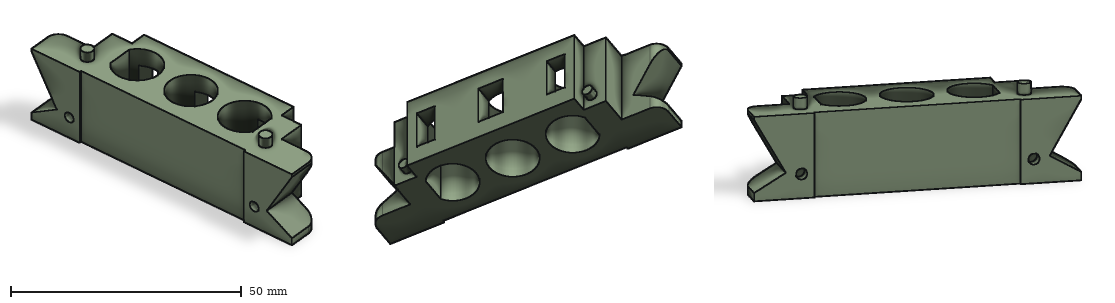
import cadquery as cq

LENGTH = 73.0
HEIGHT = 19.0

WING_DEPTH = 8.6
SHOULDER_HALF_WIDTH = 26.5
SHOULDER_DEPTH = 15.4
BACK_HALF_WIDTH = 20.95
BACK_DEPTH = 19.5
WING_CORNER_RADIUS = 3.0

RELIEF_HALF_WIDTH = 23.0
RELIEF_DEPTH = 0.5

NOTCH_DEPTH = 7.1
NOTCH_ROOT_Z = 6.0
NOTCH_LOWER_Z = 1.9
NOTCH_UPPER_Z = 18.25

BORE_DIAMETER = 11.7
BORE_PITCH = 15.05
BORE_Y = 10.0
BORE_FLAT_X = 19.9

WINDOW_MARGIN = 4.5
MIDDLE_WINDOW_HALF_WIDTH = 3.1
OUTER_WINDOW_INNER_X = 14.0
OUTER_WINDOW_OUTER_X = 18.55

TOP_PIN_DIAMETER = 3.0
TOP_PIN_LENGTH = 2.55
TOP_PIN_X = 25.0
TOP_PIN_Y = 5.05
BACK_PIN_DIAMETER = 2.5
BACK_PIN_LENGTH = 2.05
BACK_PIN_X = 23.0
BACK_PIN_Z = 3.3
FRONT_HOLE_DIAMETER = 2.5
FRONT_HOLE_DEPTH = 2.55
FRONT_HOLE_X = 25.9
FRONT_HOLE_Z = 5.5

SIDES = (-1, 1)


def box_between(x_range, y_range, z_range):
    """Box spanning the given (low, high) range on each axis."""
    corner = (x_range[0], y_range[0], z_range[0])
    size = [high - low for low, high in (x_range, y_range, z_range)]
    return cq.Workplane("XY").box(*size, centered=False).translate(corner)


def cylinder(diameter, length, base, direction):
    """Cylinder starting at base and running along direction."""
    return cq.Workplane(
        cq.Solid.makeCylinder(diameter / 2, length, cq.Vector(*base), cq.Vector(*direction))
    )


def stepped_block():
    """Wings, shoulders and back bar, with rounded rear wing corners."""
    wings = (
        box_between((-LENGTH / 2, LENGTH / 2), (0, WING_DEPTH), (0, HEIGHT))
        .edges("|Z and >Y")
        .fillet(WING_CORNER_RADIUS)
    )
    shoulders = box_between(
        (-SHOULDER_HALF_WIDTH, SHOULDER_HALF_WIDTH), (0, SHOULDER_DEPTH), (0, HEIGHT)
    )
    back = box_between((-BACK_HALF_WIDTH, BACK_HALF_WIDTH), (0, BACK_DEPTH), (0, HEIGHT))
    relief = box_between((-RELIEF_HALF_WIDTH, RELIEF_HALF_WIDTH), (0, RELIEF_DEPTH), (0, HEIGHT))
    return wings.union(shoulders).union(back).cut(relief)


def end_notch(side):
    """V-shaped prism that opens at one end and runs through the wing."""
    end_x = side * LENGTH / 2
    root_x = side * (LENGTH / 2 - NOTCH_DEPTH)
    return (
        cq.Workplane("XZ")
        .polyline([(end_x, NOTCH_LOWER_Z), (root_x, NOTCH_ROOT_Z), (end_x, NOTCH_UPPER_Z)])
        .close()
        .extrude(-WING_DEPTH)
    )


def bores():
    """Three vertical bores, trimmed by the outer flats."""
    round_bores = (
        cq.Workplane("XY")
        .pushPoints([(column * BORE_PITCH, BORE_Y) for column in (-1, 0, 1)])
        .circle(BORE_DIAMETER / 2)
        .extrude(HEIGHT)
    )
    between_flats = box_between((-BORE_FLAT_X, BORE_FLAT_X), (0, BACK_DEPTH), (0, HEIGHT))
    return round_bores.intersect(between_flats)


def back_windows():
    """One rectangular window through the back wall into each bore."""
    x_ranges = [
        (-OUTER_WINDOW_OUTER_X, -OUTER_WINDOW_INNER_X),
        (-MIDDLE_WINDOW_HALF_WIDTH, MIDDLE_WINDOW_HALF_WIDTH),
        (OUTER_WINDOW_INNER_X, OUTER_WINDOW_OUTER_X),
    ]
    z_range = (WINDOW_MARGIN, HEIGHT - WINDOW_MARGIN)
    windows = cq.Workplane("XY")
    for x_range in x_ranges:
        windows = windows.union(box_between(x_range, (BORE_Y, BACK_DEPTH), z_range))
    return windows


result = stepped_block().cut(bores()).cut(back_windows())

for side in SIDES:
    top_pin = cylinder(
        TOP_PIN_DIAMETER, TOP_PIN_LENGTH, (side * TOP_PIN_X, TOP_PIN_Y, HEIGHT), (0, 0, 1)
    )
    back_pin = cylinder(
        BACK_PIN_DIAMETER, BACK_PIN_LENGTH, (side * BACK_PIN_X, SHOULDER_DEPTH, BACK_PIN_Z), (0, 1, 0)
    )
    front_hole = cylinder(
        FRONT_HOLE_DIAMETER, FRONT_HOLE_DEPTH, (side * FRONT_HOLE_X, 0, FRONT_HOLE_Z), (0, 1, 0)
    )
    result = result.cut(end_notch(side)).cut(front_hole).union(top_pin).union(back_pin)